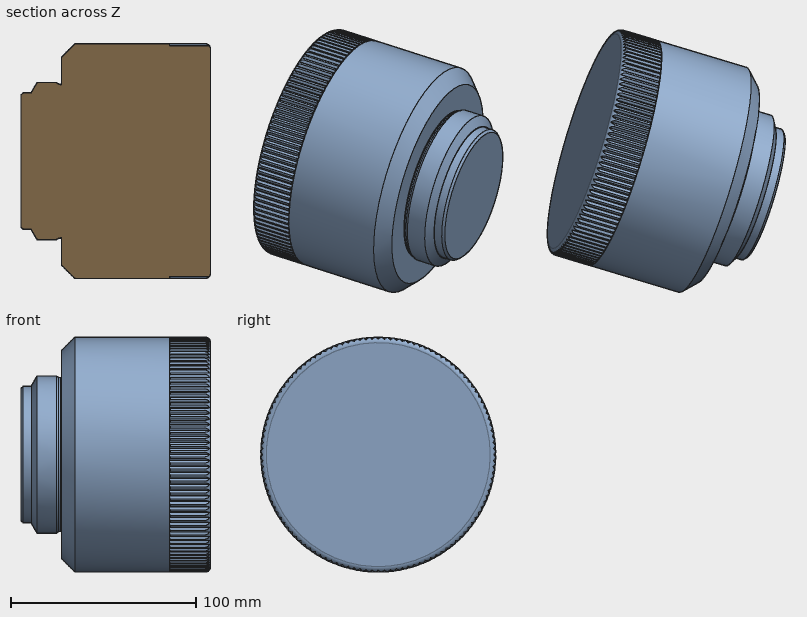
import cadquery as cq
import math


total_length = 102.5
flange_start = 5.7
flange_rim_start = 8.8
flange_rim_end = 19.2
flange_seat_start = 20.5
relief_start = 21.3
body_start = 21.8
ring_start = 80.3
ring_length = total_length - ring_start

body_radius = 63.5
flange_radius = 42.5
flange_seat_radius = 41.7
relief_radius = 41.4
flange_foot_radius = 37.3
neck_radius = 37.0

neck_chamfer = 1.3
body_chamfer = 7.4
ring_chamfer = 0.5
ring_fillet = 3.0

groove_count = 120
groove_depth = 1.1
groove_pitch_angle = 2 * math.pi / groove_count
groove_half_angle = math.asin(groove_depth / body_radius)


def make_body():
    """Neck, flange and plain cylinder, revolved from a half section."""
    return (
        cq.Workplane("XZ")
        .moveTo(0, 0)
        .lineTo(0, neck_radius - neck_chamfer)
        .lineTo(neck_chamfer, neck_radius)
        .lineTo(flange_start, neck_radius)
        .lineTo(flange_start, flange_foot_radius)
        .lineTo(flange_rim_start, flange_radius)
        .lineTo(flange_rim_end, flange_radius)
        .lineTo(flange_seat_start, flange_seat_radius)
        .lineTo(relief_start, flange_seat_radius)
        .lineTo(relief_start, relief_radius)
        .lineTo(body_start, relief_radius)
        .lineTo(body_start, body_radius - body_chamfer)
        .lineTo(body_start + body_chamfer, body_radius)
        .lineTo(ring_start, body_radius)
        .lineTo(ring_start, 0)
        .close()
        .revolve(360, (0, 0, 0), (1, 0, 0))
    )


def polar(radius, angle):
    """Point on the YZ plane, with the angle measured from +Y."""
    return radius * math.cos(angle), radius * math.sin(angle)


def make_knurled_ring():
    """Ring blank with edge breaks, trimmed to the grooved outline."""
    blank = (
        cq.Workplane("YZ", origin=(ring_start, 0, 0))
        .circle(body_radius)
        .extrude(ring_length)
        .faces("<X").edges().chamfer(ring_chamfer)
        .faces(">X").edges().fillet(ring_fillet)
    )
    outline = (
        cq.Workplane("YZ", origin=(ring_start, 0, 0))
        .moveTo(*polar(body_radius, groove_half_angle))
    )
    for index in range(1, groove_count + 1):
        groove_angle = index * groove_pitch_angle
        outline = (
            outline
            .threePointArc(
                polar(body_radius, groove_angle - groove_pitch_angle / 2),
                polar(body_radius, groove_angle - groove_half_angle),
            )
            .lineTo(*polar(body_radius - groove_depth, groove_angle))
            .lineTo(*polar(body_radius, groove_angle + groove_half_angle))
        )
    grooved_bar = outline.close().extrude(ring_length)
    return blank.intersect(grooved_bar)


result = make_body().union(make_knurled_ring())